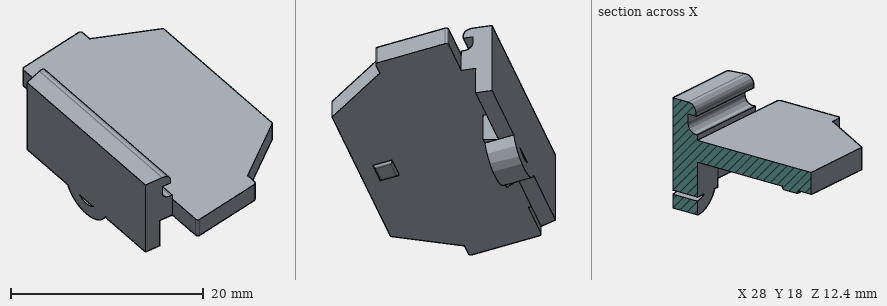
import cadquery as cq
import math


plate_half_width = 14.005
plate_thickness = 2.5
plate_back_y = 18.0
ear_back_y = 11.26
nose_half_width = 8.7
nose_side_angle = 30.0
ear_corner_radius = 0.3

wall_depth = 3.2
wall_front_half_width = 9.44
wall_side_angle = 10.0
wall_top_z = 6.5
wall_bottom_z = -3.9
wall_lower_depth = 1.7

lip_depth = 3.0
lip_underside_z = 5.1
lip_radius = 1.0
neck_depth = 2.0
ledge_z = 3.1
groove_radius = 1.0

eye_outer_radius = 3.2
eye_hole_radius = 1.6
eye_center_z = -2.7

web_side_angle = 20.0

foot_width = 2.1
foot_height = 0.35
foot_edge_radius = 0.25
foot_y = 15.25


def make_plate():
    """Plate with two square ears and a tapered nose at the back."""
    nose_length = plate_back_y - ear_back_y
    nose_root_half_width = nose_half_width + nose_length * math.tan(math.radians(nose_side_angle))
    ears = (
        cq.Workplane("XY")
        .rect(2 * plate_half_width, ear_back_y - wall_depth)
        .extrude(plate_thickness)
        .translate((0, (ear_back_y + wall_depth) / 2, 0))
        .edges("|Z")
        .fillet(ear_corner_radius)
    )
    nose = (
        cq.Workplane("XY")
        .moveTo(-nose_root_half_width, ear_back_y)
        .lineTo(-nose_half_width, plate_back_y)
        .lineTo(nose_half_width, plate_back_y)
        .lineTo(nose_root_half_width, ear_back_y)
        .close()
        .extrude(plate_thickness)
    )
    return ears.union(nose)


def make_wall():
    """Hooked side profile run across the width, trimmed to the tapered ends."""
    rear_half_width = wall_front_half_width + wall_depth * math.tan(math.radians(wall_side_angle))
    diagonal = math.sqrt(0.5)
    lip_mid = (
        lip_depth - lip_radius + lip_radius * diagonal,
        wall_top_z - lip_radius + lip_radius * diagonal,
    )
    groove_mid = (
        neck_depth + groove_radius * (1 - diagonal),
        ledge_z + groove_radius * (1 - diagonal),
    )
    profile = (
        cq.Workplane("YZ")
        .moveTo(0, wall_bottom_z)
        .lineTo(0, wall_top_z)
        .lineTo(lip_depth - lip_radius, wall_top_z)
        .threePointArc(lip_mid, (lip_depth, wall_top_z - lip_radius))
        .lineTo(lip_depth, lip_underside_z)
        .lineTo(neck_depth, lip_underside_z)
        .lineTo(neck_depth, ledge_z + groove_radius)
        .threePointArc(groove_mid, (neck_depth + groove_radius, ledge_z))
        .lineTo(wall_depth, ledge_z)
        .lineTo(wall_depth, 0)
        .lineTo(wall_lower_depth, 0)
        .lineTo(wall_lower_depth, wall_bottom_z)
        .close()
        .extrude(rear_half_width, both=True)
    )
    plan = (
        cq.Workplane("XY", origin=(0, 0, wall_bottom_z))
        .moveTo(-wall_front_half_width, 0)
        .lineTo(wall_front_half_width, 0)
        .lineTo(rear_half_width, wall_depth)
        .lineTo(-rear_half_width, wall_depth)
        .close()
        .extrude(wall_top_z - wall_bottom_z)
    )
    return profile.intersect(plan)


def make_web():
    """Block behind the lower wall, as wide at its front as the eye is at the wall bottom."""
    front_half_width = math.sqrt(eye_outer_radius**2 - (eye_center_z - wall_bottom_z) ** 2)
    web_depth = wall_depth - wall_lower_depth
    back_half_width = front_half_width + web_depth * math.tan(math.radians(web_side_angle))
    return (
        cq.Workplane("XY", origin=(0, 0, wall_bottom_z))
        .moveTo(-front_half_width, wall_lower_depth)
        .lineTo(front_half_width, wall_lower_depth)
        .lineTo(back_half_width, wall_depth)
        .lineTo(-back_half_width, wall_depth)
        .close()
        .extrude(-wall_bottom_z)
    )


def make_eye():
    """Part of a thick ring that hangs below the wall."""
    ring = (
        cq.Workplane("XZ", origin=(0, 0, eye_center_z))
        .circle(eye_outer_radius)
        .circle(eye_hole_radius)
        .extrude(-wall_depth)
    )
    space_below_wall = (
        cq.Workplane("XY", origin=(0, wall_depth / 2, wall_bottom_z))
        .rect(2 * eye_outer_radius, wall_depth)
        .extrude(-2 * eye_outer_radius)
    )
    return ring.intersect(space_below_wall)


def make_foot():
    """Small pad with its lower edges rounded."""
    return (
        cq.Workplane("XY")
        .center(0, foot_y)
        .rect(foot_width, foot_width)
        .extrude(-foot_height)
        .faces("<Z")
        .edges()
        .fillet(foot_edge_radius)
    )


result = (
    make_plate()
    .union(make_wall())
    .union(make_web())
    .union(make_eye())
    .union(make_foot())
)